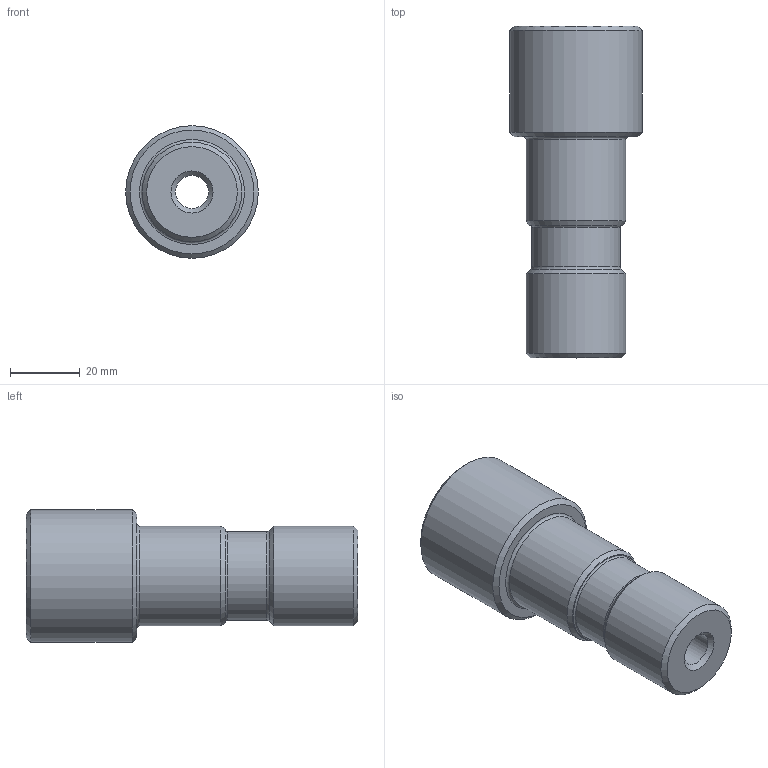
import cadquery as cq
import math

total_length = 95.25
head_length = 31.75
head_radius = 38.1 / 2
shank_radius = 28.575 / 2
neck_radius = 25.4 / 2
bore_radius = 9.525 / 2
edge_chamfer = 1.27
head_fillet = 0.79

tip_land_length = 24.1
tip_ramp_angle = math.radians(45)
tip_ramp_fillet = 1.2
rear_shoulder_distance = 37.95
rear_bevel_length = 1.45
rear_bevel_angle = math.radians(30)
rear_shoulder_fillet = 0.5

tip_y = -total_length / 2
back_y = total_length / 2
head_front_y = back_y - head_length
land_end_y = tip_y + tip_land_length
shoulder_y = tip_y + rear_shoulder_distance

neck_depth = shank_radius - neck_radius
ramp_fillet_rise = tip_ramp_fillet * (1 - math.cos(tip_ramp_angle))
ramp_fillet_length = tip_ramp_fillet * math.sin(tip_ramp_angle)
ramp_length = (neck_depth - ramp_fillet_rise) / math.tan(tip_ramp_angle)
ramp_end_y = land_end_y + ramp_length
neck_start_y = ramp_end_y + ramp_fillet_length

rear_bevel_depth = rear_bevel_length * math.tan(rear_bevel_angle)


def concave_arc(profile, center, radius, start_angle, end_angle, end):
    """Add an arc about center; angles are measured from +X toward +Y."""
    middle_angle = (start_angle + end_angle) / 2
    middle = (
        center[0] + radius * math.cos(middle_angle),
        center[1] + radius * math.sin(middle_angle),
    )
    return profile.threePointArc(middle, end)


def make_body():
    """Revolve the outer half-profile, drawn with radius along X."""
    profile = (
        cq.Workplane("XY")
        .moveTo(0, tip_y)
        .lineTo(shank_radius - edge_chamfer, tip_y)
        .lineTo(shank_radius, tip_y + edge_chamfer)
        .lineTo(shank_radius, land_end_y)
        .lineTo(neck_radius + ramp_fillet_rise, ramp_end_y)
    )
    profile = concave_arc(
        profile,
        (neck_radius + tip_ramp_fillet, neck_start_y),
        tip_ramp_fillet,
        math.pi + tip_ramp_angle,
        math.pi,
        (neck_radius, neck_start_y),
    )
    profile = profile.lineTo(neck_radius, shoulder_y - rear_shoulder_fillet)
    profile = concave_arc(
        profile,
        (neck_radius + rear_shoulder_fillet, shoulder_y - rear_shoulder_fillet),
        rear_shoulder_fillet,
        math.pi,
        math.pi / 2,
        (neck_radius + rear_shoulder_fillet, shoulder_y),
    )
    profile = (
        profile
        .lineTo(shank_radius - rear_bevel_depth, shoulder_y)
        .lineTo(shank_radius, shoulder_y + rear_bevel_length)
        .lineTo(shank_radius, head_front_y - head_fillet)
    )
    profile = concave_arc(
        profile,
        (shank_radius + head_fillet, head_front_y - head_fillet),
        head_fillet,
        math.pi,
        math.pi / 2,
        (shank_radius + head_fillet, head_front_y),
    )
    return (
        profile
        .lineTo(head_radius - edge_chamfer, head_front_y)
        .lineTo(head_radius, head_front_y + edge_chamfer)
        .lineTo(head_radius, back_y - edge_chamfer)
        .lineTo(head_radius - edge_chamfer, back_y)
        .lineTo(0, back_y)
        .close()
        .revolve(360, (0, 0, 0), (0, 1, 0))
    )


def make_bore():
    """Through bore with a chamfered mouth at the tip face."""
    return (
        cq.Workplane("XY")
        .moveTo(0, tip_y)
        .lineTo(bore_radius + edge_chamfer, tip_y)
        .lineTo(bore_radius, tip_y + edge_chamfer)
        .lineTo(bore_radius, back_y)
        .lineTo(0, back_y)
        .close()
        .revolve(360, (0, 0, 0), (0, 1, 0))
    )


result = make_body().cut(make_bore())